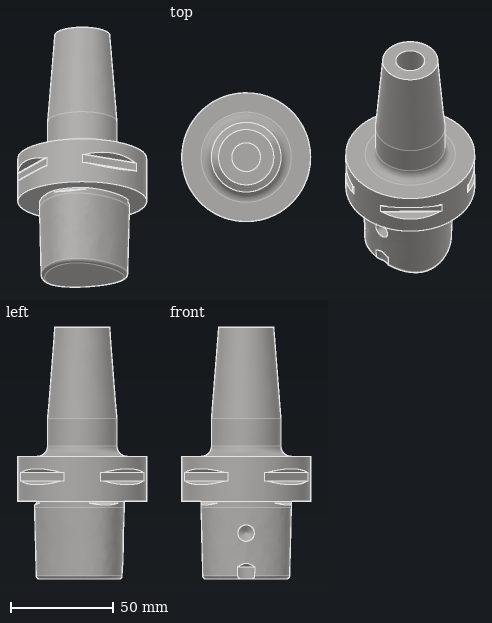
import cadquery as cq
import math

shank_length = 38.0
flange_height = 22.0
overall_height = 123.0
flange_top = shank_length + flange_height

cut_clearance = 1.0

flange_diameter = 63.0
neck_diameter = 34.0
nose_diameter = 27.0
nose_half_angle = 4.5
neck_fillet = 5.0
cone_height = (neck_diameter - nose_diameter) / 2 / math.tan(math.radians(nose_half_angle))
cone_bottom = overall_height - cone_height

bore_diameter = 14.0
bore_depth = 47.0

polygon_diameter = 43.9
polygon_eccentricity = 1.4
polygon_taper = 1 / 20
straight_length = 3.0
curve_points = 72
shank_end_fillet = 1.8

relief_radius = 22.4
relief_wall_height = 0.9
relief_depth = 1.8
relief_outer_radius = polygon_diameter / 2 + polygon_eccentricity

groove_angles = (45, 135, 225, 315)
groove_floor_distance = 27.7
groove_floor_width = 4.1
groove_step_depth = 0.6
groove_wall_angle = 30
groove_offset = 12.0
groove_center = shank_length + groove_offset

hole_diameter = 8.0
hole_offset = 15.5
hole_height = shank_length - hole_offset
hole_cylinder_end = 14.5
hole_tip_half_angle = 59
hole_cone_depth = hole_diameter / 2 / math.tan(math.radians(hole_tip_half_angle))

notch_radius = 6.7
notch_floor_distance = 18.05
notch_height = 5.9


def polygon_wire(diameter, height):
    """Closed smooth three-lobed curve with one lobe on +Y and its seam on -Y."""
    radius = diameter / 2
    points = []
    for step in range(curve_points):
        angle = math.pi + step * 2 * math.pi / curve_points
        along_lobe = radius * math.cos(angle) + polygon_eccentricity * math.cos(2 * angle)
        across_lobe = radius * math.sin(angle) - polygon_eccentricity * math.sin(2 * angle)
        points.append(cq.Vector(-across_lobe, along_lobe, height))
    return cq.Wire.assembleEdges([cq.Edge.makeSpline(points, periodic=True)])


def make_body():
    """Flange, neck, fillet and conical nose as one turned body."""
    neck_radius = neck_diameter / 2
    fillet_center_radius = neck_radius + neck_fillet
    fillet_center_height = flange_top + neck_fillet
    diagonal = neck_fillet * math.sqrt(0.5)
    profile = (
        cq.Workplane("XZ")
        .moveTo(0, shank_length)
        .lineTo(flange_diameter / 2, shank_length)
        .lineTo(flange_diameter / 2, flange_top)
        .lineTo(fillet_center_radius, flange_top)
        .threePointArc(
            (fillet_center_radius - diagonal, fillet_center_height - diagonal),
            (neck_radius, fillet_center_height),
        )
        .lineTo(neck_radius, cone_bottom)
        .lineTo(nose_diameter / 2, overall_height)
        .lineTo(0, overall_height)
        .close()
    )
    return profile.revolve(360, (0, 0, 0), (0, 1, 0))


def make_shank():
    """Straight polygon collar under the flange followed by the tapered polygon."""
    taper_length = shank_length - straight_length
    end_diameter = polygon_diameter - polygon_taper * taper_length
    upper_wire = polygon_wire(polygon_diameter, shank_length)
    shoulder_wire = polygon_wire(polygon_diameter, taper_length)
    end_wire = polygon_wire(end_diameter, 0)
    collar = cq.Workplane(cq.Solid.makeLoft([shoulder_wire, upper_wire], True))
    taper = cq.Workplane(cq.Solid.makeLoft([end_wire, shoulder_wire], True))
    return collar.union(taper).faces("<Z").edges().fillet(shank_end_fillet)


def make_lobe_relief():
    """Ring with a straight inner wall and a bevel running out at the lobe surface."""
    clear_radius = relief_outer_radius + cut_clearance
    return (
        cq.Workplane("XZ")
        .moveTo(relief_radius, shank_length)
        .lineTo(relief_radius, shank_length - relief_wall_height)
        .lineTo(relief_outer_radius, shank_length - relief_depth)
        .lineTo(clear_radius, shank_length - relief_depth)
        .lineTo(clear_radius, shank_length)
        .close()
        .revolve(360, (0, 0, 0), (0, 1, 0))
    )


def make_gripper_groove(angle):
    """Flat-bottomed groove with stepped, sloping walls, cut along a chord of the flange."""
    outer_distance = flange_diameter / 2 + cut_clearance
    slope_start = groove_floor_distance + groove_step_depth
    slope_depth = outer_distance - slope_start
    floor_half = groove_floor_width / 2
    mouth_half = floor_half + slope_depth * math.tan(math.radians(groove_wall_angle))
    return (
        cq.Workplane("XZ")
        .moveTo(groove_floor_distance, groove_center - floor_half)
        .lineTo(slope_start, groove_center - floor_half)
        .lineTo(outer_distance, groove_center - mouth_half)
        .lineTo(outer_distance, groove_center + mouth_half)
        .lineTo(slope_start, groove_center + floor_half)
        .lineTo(groove_floor_distance, groove_center + floor_half)
        .close()
        .extrude(flange_diameter / 2, both=True)
        .rotate((0, 0, 0), (0, 0, 1), angle)
    )


def make_index_hole():
    """Radial hole with a conical bottom, entering from -Y."""
    radius = hole_diameter / 2
    return (
        cq.Workplane("XY", origin=(0, 0, hole_height))
        .moveTo(0, -polygon_diameter)
        .lineTo(radius, -polygon_diameter)
        .lineTo(radius, -hole_cylinder_end)
        .lineTo(0, -hole_cylinder_end + hole_cone_depth)
        .close()
        .revolve(360, (0, 0, 0), (0, 1, 0))
    )


def make_key_notch():
    """Upright round-walled notch with a 45 degree conical roof, open at the shank end."""
    axis_y = -(notch_floor_distance + notch_radius)
    return (
        cq.Workplane("XZ", origin=(0, axis_y, 0))
        .moveTo(0, -notch_height)
        .lineTo(notch_radius, -notch_height)
        .lineTo(notch_radius, notch_height)
        .lineTo(0, notch_height + notch_radius)
        .close()
        .revolve(360, (0, 0, 0), (0, 1, 0))
    )


def make_bore():
    """Flat-bottomed tool bore open at the nose."""
    return (
        cq.Workplane("XY", origin=(0, 0, overall_height - bore_depth))
        .circle(bore_diameter / 2)
        .extrude(bore_depth)
    )


shank = make_shank().cut(make_lobe_relief()).cut(make_index_hole()).cut(make_key_notch())

body = make_body().cut(make_bore())
for groove_angle in groove_angles:
    body = body.cut(make_gripper_groove(groove_angle))

result = body.union(shank).solids()